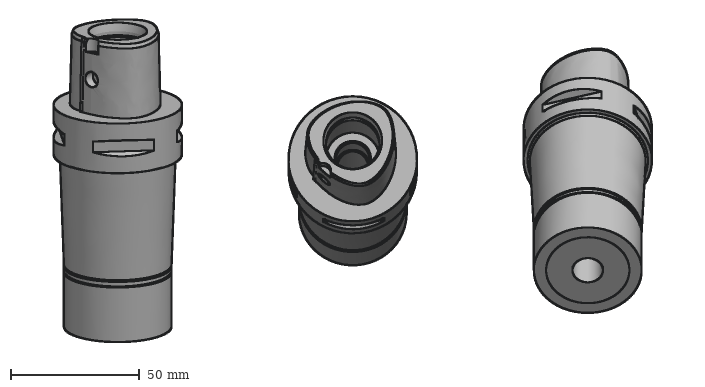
import cadquery as cq
import math

total_height = 120.0
flange_top = 90.1
flange_bottom = 70.0
barrel_bottom = 25.2
ring_top = 24.5
nut_top = 22.5

flange_radius = 25.0
barrel_top_radius = 22.5
barrel_bottom_radius = 21.0
undercut_flare = 0.8
neck_radius = 16.2
clamp_radius = 21.0

shank_radius = 17.66
shank_lobe = 1.13
shank_taper = 0.025
shank_chamfer_height = 1.7
shank_chamfer_inset = 0.66
shank_spline_steps = 18

mouth_radius = 11.4
land_radius = 10.5
groove_radius = 12.0
land_top = total_height - 3.4
land_bottom = total_height - 4.8
groove_top = total_height - 6.0
groove_bottom = total_height - 8.0
socket_top = total_height - 9.2
socket_floor = flange_top
thread_radius = 7.1
thread_chamfer = 0.6
thread_bottom = 78.0
through_radius = 5.94
thread_end_radius = thread_radius - thread_chamfer

keyway_radius = 3.1
keyway_depth = 5.2
keyway_axis_y = -16.7
pin_hole_radius = 3.06
pin_hole_height = 104.2
pin_hole_floor_y = -11.6

slot_count = 4
slot_floor = 22.0
slot_height = 80.0
slot_floor_width = 4.3
slot_side_spread = 0.37

nut_chamfer = 0.4


def polygon_wire(mean_radius, height):
    """Closed three-lobed outline of constant width with one lobe towards +Y."""
    def point(angle):
        reach = mean_radius - shank_lobe * math.cos(3 * angle)
        slide = 3 * shank_lobe * math.sin(3 * angle)
        return cq.Vector(
            reach * math.sin(angle) + slide * math.cos(angle),
            -reach * math.cos(angle) + slide * math.sin(angle),
            height,
        )

    def half_outline(start_angle, start_direction):
        step = math.pi / shank_spline_steps
        points = [point(start_angle + i * step) for i in range(shank_spline_steps + 1)]
        tangents = [cq.Vector(start_direction, 0, 0), cq.Vector(-start_direction, 0, 0)]
        return cq.Edge.makeSpline(points, tangents=tangents)

    return cq.Wire.assembleEdges([half_outline(0, 1), half_outline(math.pi, -1)])


def make_shank():
    chamfer_start = total_height - shank_chamfer_height
    chamfer_radius = shank_radius - shank_taper * (chamfer_start - flange_top)
    base = polygon_wire(shank_radius, flange_top)
    shoulder = polygon_wire(chamfer_radius, chamfer_start)
    tip = polygon_wire(chamfer_radius - shank_chamfer_inset, total_height)
    return cq.Workplane(cq.Solid.makeLoft([base, shoulder, tip], True))


def make_round_outside():
    """Flange, tapered barrel and the neck that carries the ring and nut."""
    profile = [
        (0, 0),
        (neck_radius, 0),
        (neck_radius, barrel_bottom),
        (barrel_bottom_radius, barrel_bottom),
        (barrel_top_radius, flange_bottom - undercut_flare),
        (barrel_top_radius + undercut_flare, flange_bottom),
        (flange_radius, flange_bottom),
        (flange_radius, flange_top),
        (0, flange_top),
    ]
    return cq.Workplane("XZ").polyline(profile).close().revolve(360, (0, 0), (0, 1))


def make_bore():
    profile = [
        (0, total_height),
        (mouth_radius, total_height),
        (land_radius, land_top),
        (land_radius, land_bottom),
        (groove_radius, groove_top),
        (groove_radius, groove_bottom),
        (land_radius, socket_top),
        (land_radius, socket_floor),
        (thread_radius, socket_floor),
        (thread_end_radius, socket_floor - thread_chamfer),
        (thread_end_radius, thread_bottom),
        (through_radius, thread_bottom - (thread_end_radius - through_radius)),
        (through_radius, 0),
        (0, 0),
    ]
    return cq.Workplane("XZ").polyline(profile).close().revolve(360, (0, 0), (0, 1))


def make_keyway():
    """Round-bottomed groove, open towards -Y and at the top."""
    outer_y = -flange_radius
    keyway = cq.Workplane("XY").workplane(offset=total_height - keyway_depth)
    keyway = keyway.moveTo(-keyway_radius, outer_y).lineTo(-keyway_radius, keyway_axis_y)
    keyway = keyway.threePointArc((0, keyway_axis_y + keyway_radius), (keyway_radius, keyway_axis_y))
    return keyway.lineTo(keyway_radius, outer_y).close().extrude(keyway_depth)


def make_pin_hole():
    hole = cq.Workplane("XZ", origin=(0, pin_hole_floor_y, pin_hole_height))
    return hole.circle(pin_hole_radius).extrude(flange_radius)


def make_gripper_slot(angle):
    """Flat-floored slot with flared sides, running along a chord of the flange."""
    depth = flange_radius - slot_floor
    half_floor = slot_floor_width / 2
    half_mouth = half_floor + slot_side_spread * depth
    section = [
        (slot_floor, slot_height - half_floor),
        (flange_radius, slot_height - half_mouth),
        (flange_radius, slot_height + half_mouth),
        (slot_floor, slot_height + half_floor),
    ]
    slot = cq.Workplane("XZ").polyline(section).close().extrude(flange_radius, both=True)
    return slot.rotate((0, 0, 0), (0, 0, 1), angle)


def make_holder():
    holder = make_round_outside().union(make_shank())
    holder = holder.cut(make_bore()).cut(make_keyway()).cut(make_pin_hole())
    slot_step = 360 / slot_count
    for i in range(slot_count):
        holder = holder.cut(make_gripper_slot((i + 0.5) * slot_step))
    return holder


def make_sleeve(bottom, top):
    """Plain sleeve that fits on the neck."""
    sleeve = cq.Workplane("XY").workplane(offset=bottom).circle(clamp_radius).circle(neck_radius)
    return sleeve.extrude(top - bottom)


def make_lock_ring():
    return make_sleeve(nut_top, ring_top)


def make_clamping_nut():
    outer_top_edge = cq.selectors.RadiusNthSelector(-1)
    return make_sleeve(0, nut_top).faces(">Z").edges(outer_top_edge).chamfer(nut_chamfer)


holder = make_holder()
lock_ring = make_lock_ring()
clamping_nut = make_clamping_nut()

result = cq.Compound.makeCompound([holder.val(), lock_ring.val(), clamping_nut.val()])